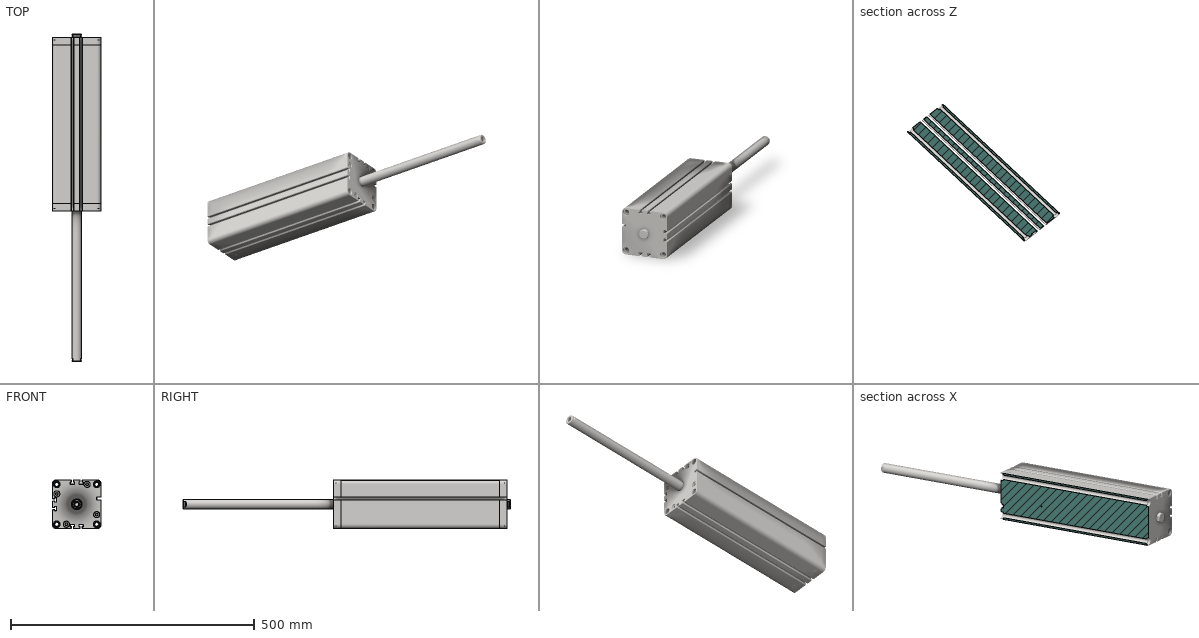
import cadquery as cq

total_length = 672.0
body_width = 100.0
body_length = 357.0
cap_length = 16.0
corner_radius = 8.5
profile_inset = 0.1
rear_rod_length = 6.5
front_rod_length = total_length - body_length - rear_rod_length

rod_diameter = 20.0
rod_end_chamfer = 1.0
rod_hole_diameter = 8.38
rod_counterbore_diameter = 10.25
rod_counterbore_depth = 4.0
rod_hole_mouth_diameter = 12.5
rod_hole_depth = 20.0
drill_point_depth = 3.0
rod_flat_width = 17.0
rod_flat_start = 1.2
rod_flat_length = 4.0
bearing_diameter = 22.0
bearing_gap_depth = 2.0

slot_offset = 9.0
slot_mouth_width = 4.4
slot_mouth_chamfer = 1.1
slot_inner_width = 8.4
slot_lip = 4.3
slot_depth = 8.4

groove_offset = 12.0
groove_width = 5.5
groove_depth = 8.4

hole_offset = 41.0
corner_hole_diameter = 8.57
corner_recess_diameter = 13.5
corner_recess_depth = 5.0

screw_side_offset = 21.3
screw_recess_diameter = 12.5
screw_recess_depth = 2.0
socket_width = 5.0
socket_depth = 3.0
socket_turn = 30.0

half_width = body_width / 2
front_face = -body_length / 2
rear_face = body_length / 2
rod_front_end = front_face - front_rod_length
rod_rear_end = rear_face + rear_rod_length


def section_plane(y, x=0, z=0):
    """XZ workplane at the given point; a negative extrusion runs toward +Y."""
    return cq.Workplane("XZ", origin=(x, y, z))


def cylinder(diameter, y_start, y_end, x=0, z=0):
    """Round bar along Y from y_start to y_end."""
    return section_plane(y_start, x, z).circle(diameter / 2).extrude(y_start - y_end)


def rounded_bar(width, y_start, y_end):
    """Square bar along Y with rounded long edges."""
    bar = section_plane(y_start).rect(width, width).extrude(y_start - y_end)
    return bar.edges("|Y").fillet(corner_radius)


def turned(shape, angle):
    """Shape turned about the long Y axis; 90 degrees brings the top side to +X."""
    return shape.rotate((0, 0, 0), (0, 1, 0), angle)


def t_slot(offset):
    """Full-length cutter for a T-slot in the top side."""
    half_mouth = slot_mouth_width / 2
    half_inner = slot_inner_width / 2
    half_opening = half_mouth + slot_mouth_chamfer
    outline = [
        (offset - half_opening, half_width),
        (offset - half_mouth, half_width - slot_mouth_chamfer),
        (offset - half_mouth, half_width - slot_lip),
        (offset - half_inner, half_width - slot_lip),
        (offset - half_inner, half_width - slot_depth),
        (offset + half_inner, half_width - slot_depth),
        (offset + half_inner, half_width - slot_lip),
        (offset + half_mouth, half_width - slot_lip),
        (offset + half_mouth, half_width - slot_mouth_chamfer),
        (offset + half_opening, half_width),
    ]
    return section_plane(front_face).polyline(outline).close().extrude(-body_length)


def side_groove():
    """Full-length cutter for the plain groove in the +X side."""
    centre_x = half_width - groove_depth / 2
    plane = section_plane(front_face, centre_x, groove_offset)
    return plane.rect(groove_depth, groove_width).extrude(-body_length)


def corner_hole(x, z):
    """Through hole with a recess at each end face."""
    hole = cylinder(corner_hole_diameter, front_face, rear_face, x, z)
    front_recess = cylinder(corner_recess_diameter, front_face, front_face + corner_recess_depth, x, z)
    rear_recess = cylinder(corner_recess_diameter, rear_face - corner_recess_depth, rear_face, x, z)
    return hole.union(front_recess).union(rear_recess)


def screw_seat():
    """Round recess with a hexagon socket, placed near the top edge of the front face."""
    floor = front_face + screw_recess_depth
    recess = cylinder(screw_recess_diameter, front_face, floor, screw_side_offset, hole_offset)
    socket_plane = section_plane(floor, screw_side_offset, hole_offset)
    socket_plane = socket_plane.transformed(rotate=(0, 0, socket_turn))
    socket = socket_plane.polygon(6, socket_width, circumscribed=True).extrude(-socket_depth)
    return recess.union(socket)


def make_body():
    front_cap = rounded_bar(body_width, front_face, front_face + cap_length)
    rear_cap = rounded_bar(body_width, rear_face - cap_length, rear_face)
    barrel_width = body_width - 2 * profile_inset
    barrel = rounded_bar(barrel_width, front_face + cap_length, rear_face - cap_length)
    body = barrel.union(front_cap).union(rear_cap)

    for angle in (0, 180, -90):
        for offset in (-slot_offset, slot_offset):
            body = body.cut(turned(t_slot(offset), angle))
    body = body.cut(side_groove())

    for x in (-hole_offset, hole_offset):
        for z in (-hole_offset, hole_offset):
            body = body.cut(corner_hole(x, z))
    for angle in (0, 90, 180, 270):
        body = body.cut(turned(screw_seat(), angle))
    return body.cut(cylinder(bearing_diameter, front_face, front_face + bearing_gap_depth))


def flat_cutter(rod_end, inward):
    """Cutter for a +X flat near one rod end; inward is the Y direction into the rod."""
    half_flat = rod_flat_width / 2
    flat_depth = rod_diameter / 2 - half_flat
    start = rod_end + inward * rod_flat_start
    stop = start + inward * rod_flat_length
    outline = [
        (half_flat, start),
        (half_flat, stop),
        (half_flat + flat_depth, stop + inward * flat_depth),
        (half_flat + flat_depth, start),
    ]
    cutter = cq.Workplane("XY").polyline(outline).close()
    return cutter.extrude(rod_diameter / 2, both=True)


def rod_hole():
    """Blind hole in the front rod end, with a chamfered counterbore and a conical drill point."""
    hole_radius = rod_hole_diameter / 2
    counterbore_radius = rod_counterbore_diameter / 2
    mouth_radius = rod_hole_mouth_diameter / 2
    floor = rod_front_end + rod_hole_depth
    outline = [
        (0, rod_front_end),
        (mouth_radius, rod_front_end),
        (counterbore_radius, rod_front_end + mouth_radius - counterbore_radius),
        (counterbore_radius, rod_front_end + rod_counterbore_depth),
        (hole_radius, rod_front_end + rod_counterbore_depth),
        (hole_radius, floor),
        (0, floor + drill_point_depth),
    ]
    return cq.Workplane("XY").polyline(outline).close().revolve(360, (0, 0, 0), (0, 1, 0))


def make_rod():
    rod = cylinder(rod_diameter, rod_front_end, rod_rear_end)
    rod = rod.faces("<Y or >Y").chamfer(rod_end_chamfer)
    rod = rod.cut(rod_hole())
    for rod_end, inward in ((rod_front_end, 1), (rod_rear_end, -1)):
        for angle in (0, 180):
            rod = rod.cut(turned(flat_cutter(rod_end, inward), angle))
    return rod


result = make_body().union(make_rod())